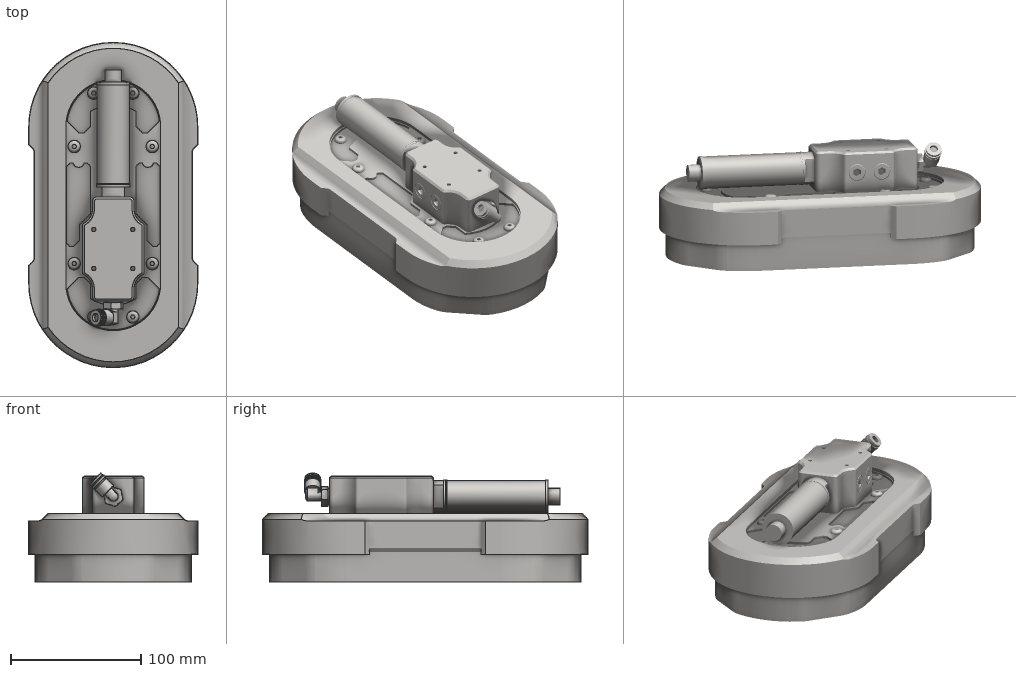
import cadquery as cq
import math

end_center_y = 60.0
housing_radius = 65.0
housing_bottom_z = 21.2
housing_top_z = 52.8
end_chamfer = 4.5

rail_top_x = 50.0
rail_floor_z = 47.0
rail_fillet = 5.0

notch_half_length = 46.5
notch_face_x = 60.8
notch_fillet = 4.0
notch_relief_z = 25.5
notch_relief_half_length = 43.0

foam_radius = 60.0
foam_top_z = 24.0
foam_flat_distance = 57.5
foam_flat_fillet = 22.5

screw_head_height = 2.8
plate_radius = 36.5
plate_top_z = housing_top_z - screw_head_height
plate_thickness = 4.0
pocket_depth = 2.0
plate_rim = 0.8
pocket_corner = 2.5
side_pocket_top_y = 32.2
side_pocket_bottom_y = -32.0
bump_half_width = 4.2
bump_depth = 3.2
rib_half_width = 17.5
wide_rib_half_width = 25.8
rib_widening_y = -6.8
rib_shoulder_y = 72.0
rib_end_y = 77.0
end_pocket_side_y = 64.5
end_pocket_tip_y = 55.5
end_pocket_tip_chamfer = 5.0

screw_positions = [(30, 45), (15, 86.0)]
screw_head_radius = 4.8
screw_head_fillet = 2.5
screw_socket_diameter = 3.5
screw_socket_depth = 1.8

block_center_y = -33.8
block_half_length = 40.0
block_half_width = 23.8
block_neck_half_width = 16.0
block_neck_start = 30.8
block_shoulder = 19.2
block_shoulder_fillet = 2.5
block_end_fillet = 3.5
block_top_z = 81.5
block_chamfer = 1.5
mount_hole_diameter = 3.2
mount_hole_depth = 7.5
mount_hole_offset = 15.0
port_z = 65.8

plug_diameter = 13.0
plug_depth = 7.5
plug_chamfer = 0.5
plug_offsets_y = (-24.2, -43.8)
plug_socket_diameter = 6.8
plug_socket_depth = 5.0

silencer_cap_radius = 12.8
silencer_tube_radius = 12.5
silencer_start_y = 14.0
silencer_end_y = 94.5
silencer_caps = [(silencer_start_y, 15.8), (16.2, 16.8), (92.2, silencer_end_y)]
wrench_flat_x = 8.8
stub_radius = 6.5
stub_end_y = 103.8

stud_collar_radius = 6.5
stud_collar_length = 1.0
hex_diameter = 16.0
hex_length = 5.0
hex_turn = 18.0
hex_chamfer = 0.5
elbow_y = -86.5
elbow_tube_radius = 3.62
elbow_arm_radius = 5.5
arm_tilt = 45.0
sleeve_steps = [(5.8, 13.8, 6.2), (13.8, 15.0, 6.0), (15.0, 16.8, 6.5), (16.8, 17.8, 5.8), (17.8, 19.5, 6.0)]
sleeve_bore_radius = 3.12
sleeve_bore_depth = 2.5

block_end_y = block_center_y + block_half_length
block_port_y = block_center_y - block_half_length


def stadium(radius, z_bottom, z_top):
    """Stadium along Y whose end arcs are centred at +-end_center_y."""
    length = 2 * (end_center_y + radius)
    base = cq.Workplane("XY", origin=(0, 0, z_bottom))
    return base.slot2D(length, 2 * radius, 90).extrude(z_top - z_bottom)


def y_cylinder(radius, y_start, y_end):
    """Cylinder along Y on the axis shared by the silencer and the fitting."""
    return cq.Workplane("XZ", origin=(0, y_start, port_z)).circle(radius).extrude(y_start - y_end)


def on_both_sides(solid):
    """The solid together with its mirror image across the YZ plane."""
    return solid.union(solid.mirror("YZ"))


def make_foam():
    foam = stadium(foam_radius, 0, foam_top_z)
    for side in (-1, 1):
        for end in (-1, 1):
            cutter = (
                cq.Workplane("XY")
                .box(foam_radius, 2 * foam_radius, foam_top_z, centered=(False, True, False))
                .translate((foam_flat_distance, 0, 0))
                .rotate((0, 0, 0), (0, 0, 1), math.degrees(math.atan2(end, side)))
                .translate((0, end * end_center_y, 0))
            )
            foam = foam.cut(cutter)
    selection_half_width = foam_radius - 2.5
    flat_ends = cq.selectors.BoxSelector(
        (-selection_half_width, -2 * foam_radius, 0), (selection_half_width, 2 * foam_radius, foam_top_z)
    )
    return foam.edges("|Z").edges(flat_ends).fillet(foam_flat_fillet)


def make_rail_cutter():
    """Removes the material above the sloped rail and its filleted floor on the +X side."""
    half_turn = rail_fillet * math.sin(math.radians(45))
    arc_center_z = rail_floor_z + rail_fillet
    slope_end_z = arc_center_z - half_turn
    slope_end_x = rail_top_x + housing_top_z - slope_end_z
    arc_center_x = slope_end_x + half_turn
    mid = math.radians(22.5)
    arc_mid = (arc_center_x - rail_fillet * math.sin(mid), arc_center_z - rail_fillet * math.cos(mid))
    length = 2 * (end_center_y + housing_radius)
    return (
        cq.Workplane("XZ", origin=(0, length / 2, 0))
        .moveTo(rail_top_x, housing_top_z)
        .lineTo(slope_end_x, slope_end_z)
        .threePointArc(arc_mid, (arc_center_x, rail_floor_z))
        .lineTo(housing_radius, rail_floor_z)
        .lineTo(housing_radius, housing_top_z)
        .close()
        .extrude(length)
    )


def make_notch_cutter():
    """Removes the name-panel notch of the +X side, with filleted 45 degree ends."""
    depth = housing_radius - notch_face_x
    inner_half_length = notch_half_length - depth
    height = housing_top_z - housing_bottom_z
    notch = (
        cq.Workplane("XY", origin=(0, 0, housing_bottom_z))
        .polyline([
            (notch_face_x, -inner_half_length),
            (notch_face_x + depth, -notch_half_length),
            (notch_face_x + depth, notch_half_length),
            (notch_face_x, inner_half_length),
        ])
        .close()
        .extrude(height)
        .edges("|Z and <X")
        .fillet(notch_fillet)
    )
    relief = cq.Workplane("XY", origin=(foam_radius, 0, housing_bottom_z)).box(
        depth, 2 * notch_relief_half_length, notch_relief_z - housing_bottom_z, centered=(False, True, False)
    )
    return notch.union(relief)


def make_housing(foam):
    housing = stadium(housing_radius, housing_bottom_z, housing_top_z)
    housing = housing.faces(">Z").edges().chamfer(end_chamfer)
    housing = housing.cut(on_both_sides(make_rail_cutter()))
    housing = housing.cut(on_both_sides(make_notch_cutter()))
    housing = housing.cut(stadium(plate_radius, plate_top_z - plate_thickness, housing_top_z))
    return housing.cut(foam)


pocket_floor_z = plate_top_z - pocket_depth
pocket_outer_x = plate_radius - plate_rim


def make_side_pocket():
    """Pocket on the +X side between the two bridges, stepping outward around the block."""
    inner_corner_x = rib_half_width + pocket_corner
    outer_corner_x = pocket_outer_x - pocket_corner
    bump_x = (rib_half_width + pocket_outer_x) / 2
    bump_tip = (bump_x, side_pocket_top_y - bump_depth)
    wide_rib_top_y = rib_widening_y - (wide_rib_half_width - rib_half_width)
    floor_end_x = outer_corner_x - pocket_corner
    wide_rib_bottom_y = side_pocket_bottom_y + floor_end_x - wide_rib_half_width
    return (
        cq.Workplane("XY", origin=(0, 0, pocket_floor_z))
        .moveTo(pocket_outer_x, side_pocket_bottom_y + pocket_corner)
        .lineTo(pocket_outer_x, side_pocket_top_y - pocket_corner)
        .lineTo(outer_corner_x, side_pocket_top_y)
        .lineTo(bump_x + bump_half_width, side_pocket_top_y)
        .threePointArc(bump_tip, (bump_x - bump_half_width, side_pocket_top_y))
        .lineTo(inner_corner_x, side_pocket_top_y)
        .lineTo(rib_half_width, side_pocket_top_y - pocket_corner)
        .lineTo(rib_half_width, rib_widening_y)
        .lineTo(wide_rib_half_width, wide_rib_top_y)
        .lineTo(wide_rib_half_width, wide_rib_bottom_y)
        .lineTo(floor_end_x, side_pocket_bottom_y)
        .lineTo(outer_corner_x, side_pocket_bottom_y)
        .close()
        .extrude(pocket_depth)
    )


def make_end_pocket():
    """C-shaped pocket around the rounded +Y end of the central rib."""
    side_x = math.sqrt(pocket_outer_x**2 - (end_pocket_side_y - end_center_y) ** 2)
    tip_outer_x = side_x - (end_pocket_side_y - end_pocket_tip_y)
    tip_inner_x = rib_half_width + end_pocket_tip_chamfer
    chamfer_end_y = end_pocket_tip_y + end_pocket_tip_chamfer
    return (
        cq.Workplane("XY", origin=(0, 0, pocket_floor_z))
        .moveTo(side_x, end_pocket_side_y)
        .threePointArc((0, end_center_y + pocket_outer_x), (-side_x, end_pocket_side_y))
        .lineTo(-tip_outer_x, end_pocket_tip_y)
        .lineTo(-tip_inner_x, end_pocket_tip_y)
        .lineTo(-rib_half_width, chamfer_end_y)
        .lineTo(-rib_half_width, rib_shoulder_y)
        .threePointArc((0, rib_end_y), (rib_half_width, rib_shoulder_y))
        .lineTo(rib_half_width, chamfer_end_y)
        .lineTo(tip_inner_x, end_pocket_tip_y)
        .lineTo(tip_outer_x, end_pocket_tip_y)
        .close()
        .extrude(pocket_depth)
    )


def make_screw_head(x, y, seat_z):
    head = (
        cq.Workplane("XY", origin=(x, y, seat_z))
        .circle(screw_head_radius)
        .extrude(screw_head_height)
        .faces(">Z")
        .edges()
        .fillet(screw_head_fillet)
    )
    socket = (
        cq.Workplane("XY", origin=(x, y, seat_z + screw_head_height - screw_socket_depth))
        .polygon(6, screw_socket_diameter)
        .extrude(screw_socket_depth)
    )
    return head.cut(socket)


def make_base_plate():
    plate = stadium(plate_radius, plate_top_z - plate_thickness, plate_top_z)
    plate = plate.cut(on_both_sides(make_side_pocket()))
    end_pocket = make_end_pocket()
    plate = plate.cut(end_pocket).cut(end_pocket.mirror("XZ"))
    for x, y in screw_positions:
        seat_z = plate_top_z if y < end_center_y else pocket_floor_z
        for side in (-1, 1):
            for end in (-1, 1):
                plate = plate.union(make_screw_head(side * x, end * y, seat_z))
    return plate


def make_block():
    neck_x = block_neck_half_width
    shoulder_x = block_half_width
    step = shoulder_x - neck_x
    rise = block_neck_start - block_shoulder
    arc_radius = (step**2 + rise**2) / (2 * step)
    half_angle = math.asin(rise / arc_radius) / 2
    mid_x = neck_x + arc_radius * (1 - math.cos(half_angle))
    mid_y = block_neck_start - arc_radius * math.sin(half_angle)
    outline = (
        cq.Workplane("XY", origin=(0, block_center_y, plate_top_z))
        .moveTo(-neck_x, block_half_length)
        .lineTo(neck_x, block_half_length)
        .lineTo(neck_x, block_neck_start)
        .threePointArc((mid_x, mid_y), (shoulder_x, block_shoulder))
        .lineTo(shoulder_x, -block_shoulder)
        .threePointArc((mid_x, -mid_y), (neck_x, -block_neck_start))
        .lineTo(neck_x, -block_half_length)
        .lineTo(-neck_x, -block_half_length)
        .lineTo(-neck_x, -block_neck_start)
        .threePointArc((-mid_x, -mid_y), (-shoulder_x, -block_shoulder))
        .lineTo(-shoulder_x, block_shoulder)
        .threePointArc((-mid_x, mid_y), (-neck_x, block_neck_start))
        .close()
    )
    block = outline.extrude(block_top_z - plate_top_z)
    block = block.faces("<Y or >Y").edges("|Z").fillet(block_end_fillet)
    block = block.faces("<X or >X").edges("|Z").fillet(block_shoulder_fillet)
    block = block.faces(">Z").edges().chamfer(block_chamfer)
    spacing = 2 * mount_hole_offset
    holes = (
        cq.Workplane("XY", origin=(0, block_center_y, block_top_z - mount_hole_depth))
        .rect(spacing, spacing, forConstruction=True)
        .vertices()
        .circle(mount_hole_diameter / 2)
        .extrude(mount_hole_depth)
    )
    return block.cut(holes)


def make_plug_bore(y):
    side_face = cq.Workplane("YZ", origin=(-block_half_width, y, port_z))
    return side_face.circle(plug_diameter / 2).extrude(plug_depth)


def make_plug(y):
    plug = make_plug_bore(y).faces("<X").edges().chamfer(plug_chamfer)
    socket = (
        cq.Workplane("YZ", origin=(-block_half_width, y, port_z))
        .transformed(rotate=(0, 0, 90))
        .polygon(6, plug_socket_diameter)
        .extrude(plug_socket_depth)
    )
    return plug.cut(socket)


def make_silencer():
    silencer = y_cylinder(silencer_tube_radius, block_end_y, silencer_end_y)
    for start, end in silencer_caps:
        silencer = silencer.union(y_cylinder(silencer_cap_radius, start, end))
    flat_length = silencer_start_y - block_end_y
    flat_cutter = (
        cq.Workplane("XY")
        .box(silencer_cap_radius, flat_length, 2 * silencer_cap_radius, centered=(False, False, True))
        .translate((wrench_flat_x, block_end_y, port_z))
    )
    silencer = silencer.cut(on_both_sides(flat_cutter))
    return silencer.union(y_cylinder(stub_radius, silencer_end_y, stub_end_y))


hex_start_y = block_port_y - stud_collar_length
hex_end_y = hex_start_y - hex_length


def make_stud():
    collar = y_cylinder(stud_collar_radius, block_port_y, hex_start_y)
    nut = (
        cq.Workplane("XZ", origin=(0, hex_start_y, port_z))
        .transformed(rotate=(0, 0, -hex_turn))
        .polygon(6, hex_diameter)
        .extrude(hex_length)
    )
    corner_rounding = y_cylinder(hex_diameter / 2, hex_start_y, hex_end_y).edges().chamfer(hex_chamfer)
    return collar.union(nut.intersect(corner_rounding))


def make_elbow():
    corner = cq.Vector(0, elbow_y, port_z)
    tilt = math.radians(arm_tilt)
    arm_direction = cq.Vector(-math.cos(tilt), 0, math.sin(tilt))

    def arm_cylinder(radius, start, end):
        base = corner + arm_direction * start
        return cq.Workplane(cq.Solid.makeCylinder(radius, end - start, base, arm_direction))

    elbow = y_cylinder(elbow_tube_radius, hex_end_y, elbow_y)
    sleeve_start = sleeve_steps[0][0]
    sleeve_end = sleeve_steps[-1][1]
    tube_envelope = y_cylinder(elbow_tube_radius, hex_end_y, elbow_y - elbow_arm_radius)
    arm_slab = (
        cq.Workplane("XY")
        .box(sleeve_start, 2 * elbow_arm_radius, 2 * elbow_tube_radius, centered=(False, True, True))
        .rotate((0, 0, 0), (0, 1, 0), -(180 - arm_tilt))
        .translate(corner.toTuple())
    )
    arm_end = cq.Workplane("XY").sphere(elbow_arm_radius).translate(corner.toTuple())
    arm = arm_cylinder(elbow_arm_radius, 0, sleeve_start).union(arm_end)
    elbow = elbow.union(arm.intersect(arm_slab.union(tube_envelope)))
    for start, end, radius in sleeve_steps:
        elbow = elbow.union(arm_cylinder(radius, start, end))
    return elbow.cut(arm_cylinder(sleeve_bore_radius, sleeve_end - sleeve_bore_depth, sleeve_end))


foam = make_foam()
housing = make_housing(foam)
base_plate = make_base_plate()
block = make_block()
plugs = []
for plug_y in plug_offsets_y:
    block = block.cut(make_plug_bore(plug_y))
    plugs.append(make_plug(plug_y).val())
silencer = make_silencer()
stud = make_stud()
elbow = make_elbow()

result = cq.Compound.makeCompound([
    foam.val(),
    housing.val(),
    base_plate.val(),
    block.val(),
    *plugs,
    silencer.val(),
    stud.val(),
    elbow.val(),
])